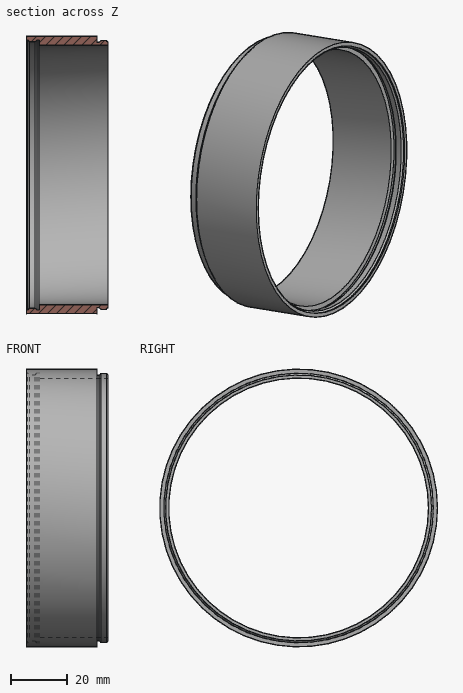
import cadquery as cq

BODY_DIAMETER = 98.0
BODY_LENGTH = 25.0
BORE_DIAMETER = 91.5

SPIGOT_LENGTH = 3.9
SPIGOT_DIAMETER = 95.0
NECK_DIAMETER = 93.7
NECK_LENGTH = 0.7

SOCKET_DEPTH = 4.5
SOCKET_DIAMETER = 94.0
RELIEF_DIAMETER = 95.2
MOUTH_LENGTH = 0.5
RELIEF_LENGTH = 0.75

TOTAL_LENGTH = BODY_LENGTH + SPIGOT_LENGTH
SPIGOT_CHAMFER = (SPIGOT_DIAMETER - NECK_DIAMETER) / 2
SOCKET_CHAMFER = (RELIEF_DIAMETER - SOCKET_DIAMETER) / 2


def revolve_about_x(profile):
    """Revolve a closed list of (x, radius) points about the X axis."""
    return cq.Workplane("XY").polyline(profile).close().revolve(360, (0, 0, 0), (1, 0, 0))


def make_body():
    """Plain tube that carries both threaded ends."""
    return (
        cq.Workplane("YZ")
        .circle(BODY_DIAMETER / 2)
        .circle(BORE_DIAMETER / 2)
        .extrude(BODY_LENGTH)
    )


def make_spigot():
    """Male end: a narrow neck followed by a collar chamfered on both edges."""
    bore_radius = BORE_DIAMETER / 2
    neck_radius = NECK_DIAMETER / 2
    collar_radius = SPIGOT_DIAMETER / 2
    neck_end = BODY_LENGTH + NECK_LENGTH
    return revolve_about_x([
        (BODY_LENGTH, bore_radius),
        (BODY_LENGTH, neck_radius),
        (neck_end, neck_radius),
        (neck_end + SPIGOT_CHAMFER, collar_radius),
        (TOTAL_LENGTH - SPIGOT_CHAMFER, collar_radius),
        (TOTAL_LENGTH, neck_radius),
        (TOTAL_LENGTH, bore_radius),
    ])


def make_socket_cut():
    """Female end: straight mouth, thread bore and bottom relief, joined by 45 degree cones."""
    thread_radius = SOCKET_DIAMETER / 2
    relief_radius = RELIEF_DIAMETER / 2
    relief_start = SOCKET_DEPTH - RELIEF_LENGTH
    return revolve_about_x([
        (0, 0),
        (0, relief_radius),
        (MOUTH_LENGTH, relief_radius),
        (MOUTH_LENGTH + SOCKET_CHAMFER, thread_radius),
        (relief_start - SOCKET_CHAMFER, thread_radius),
        (relief_start, relief_radius),
        (SOCKET_DEPTH, relief_radius),
        (SOCKET_DEPTH, 0),
    ])


result = make_body().union(make_spigot()).cut(make_socket_cut())